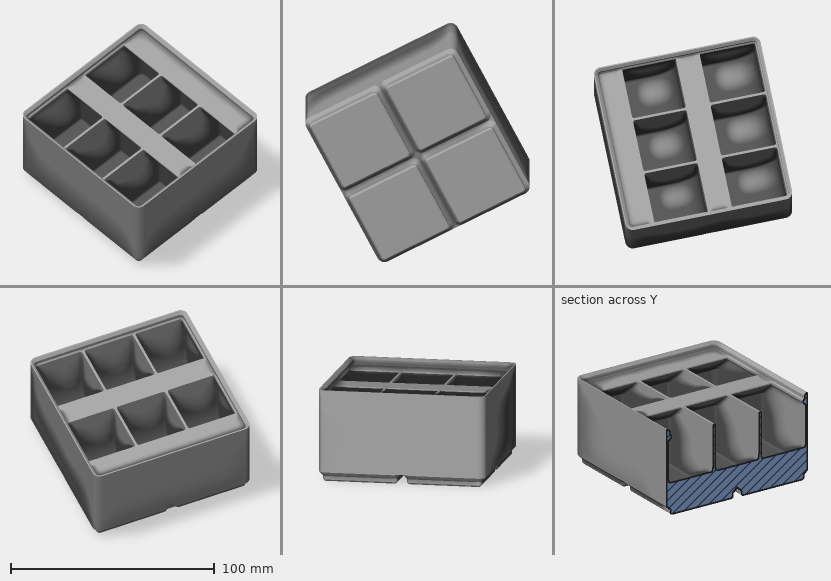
import cadquery as cq
import math

cell_count = 2
cell_pitch = 42.0
side_clearance = 0.25
bin_size = cell_count * cell_pitch - 2 * side_clearance
bin_corner_radius = 3.75
body_top = 42.0

foot_corner_radius = 4.0
foot_low_chamfer = 0.8
foot_straight = 1.8
foot_high_chamfer = 2.4
foot_straight_top = foot_low_chamfer + foot_straight
foot_height = foot_straight_top + foot_high_chamfer

wall = 1.0
floor_top = 7.0
inner_size = bin_size - 2 * wall
half_inner = inner_size / 2

lip_undercut = 1.6
lip_band = 1.2
lip_low_chamfer = 0.7
lip_straight = 1.8
lip_high_chamfer = 1.3
bin_top = body_top + lip_low_chamfer + lip_straight + lip_high_chamfer
mouth_size = inner_size - 2 * lip_undercut
half_mouth = mouth_size / 2

columns = 3
rows = 2
divider = 1.2
inside_fillet = 1.1
scoop_radius = 14.0

shelf_width = 12.0
shelf_edge_thickness = 0.6
shelf_slope = 0.82
back_shelf_inset = 1.35


def rounded_square(size, corner_radius):
    return cq.Sketch().rect(size, size).vertices().fillet(corner_radius)


def bin_section(size):
    """Rounded square whose corner arcs share their centres with the bin's outer corners."""
    return rounded_square(size, bin_corner_radius - (bin_size - size) / 2)


def straight_step(section, bottom, height):
    return cq.Workplane("XY", origin=(0, 0, bottom)).placeSketch(section).extrude(height)


def taper_down(section, top, height):
    """Step that narrows downward at 45 degrees from its section at the top."""
    return cq.Workplane("XY", origin=(0, 0, top)).placeSketch(section).extrude(-height, taper=45)


def taper_up(section, bottom, height):
    """Step that narrows upward at 45 degrees from its section at the bottom."""
    return cq.Workplane("XY", origin=(0, 0, bottom)).placeSketch(section).extrude(height, taper=45)


def make_foot():
    full_section = rounded_square(cell_pitch, foot_corner_radius)
    band_section = rounded_square(
        cell_pitch - 2 * foot_high_chamfer,
        foot_corner_radius - foot_high_chamfer,
    )
    foot = taper_down(full_section, foot_height, foot_high_chamfer)
    foot = foot.union(straight_step(band_section, foot_low_chamfer, foot_straight))
    return foot.union(taper_down(band_section, foot_low_chamfer, foot_low_chamfer))


def make_feet():
    """One foot per cell, trimmed to the bin's outline."""
    foot = make_foot()
    feet = cq.Workplane("XY")
    middle = (cell_count - 1) / 2
    for column in range(cell_count):
        for row in range(cell_count):
            place = ((column - middle) * cell_pitch, (row - middle) * cell_pitch, 0)
            feet = feet.union(foot.translate(place))
    return feet.intersect(straight_step(bin_section(bin_size), 0, foot_height))


def make_lip_recess():
    """Space inside the lip, above the compartments."""
    band_size = mouth_size + 2 * lip_low_chamfer
    rim_size = band_size + 2 * lip_high_chamfer
    band_bottom = body_top + lip_low_chamfer
    recess = taper_down(bin_section(band_size), band_bottom, lip_low_chamfer)
    recess = recess.union(straight_step(bin_section(band_size), band_bottom, lip_straight))
    return recess.union(taper_down(bin_section(rim_size), bin_top, lip_high_chamfer))


def make_interior():
    """Undivided space below the lip, with a 45 degree narrowing up to the mouth."""
    band_bottom = body_top - lip_band
    undercut_bottom = band_bottom - lip_undercut
    interior = straight_step(bin_section(inner_size), floor_top, undercut_bottom - floor_top)
    interior = interior.faces("<Z").edges().fillet(inside_fillet)
    interior = interior.union(taper_up(bin_section(inner_size), undercut_bottom, lip_undercut))
    return interior.union(straight_step(bin_section(mouth_size), band_bottom, lip_band))


def compartment_bounds(count):
    """Start and end of each compartment along one axis, with dividers centred on even steps."""
    step = inner_size / count
    bounds = []
    for index in range(count):
        start = -half_inner + index * step
        end = start + step
        if index > 0:
            start += divider / 2
        if index < count - 1:
            end -= divider / 2
        bounds.append((start, end))
    return bounds


def make_compartment(left, right, front, back, shelf_edge):
    """Void with a scooped front and rounded inside edges that leaves a label shelf at the back."""
    width = right - left
    arc_offset = scoop_radius * (1 - math.sqrt(0.5))
    slope_start = shelf_edge - shelf_edge_thickness / shelf_slope
    shelf_root = body_top - (back - slope_start) * shelf_slope

    void = (
        cq.Workplane("YZ", origin=(left, 0, 0))
        .moveTo(front, body_top)
        .lineTo(front, floor_top + scoop_radius)
        .threePointArc(
            (front + arc_offset, floor_top + arc_offset),
            (front + scoop_radius, floor_top),
        )
        .lineTo(back, floor_top)
        .lineTo(back, shelf_root)
        .lineTo(slope_start, body_top)
        .close()
        .extrude(width)
    )
    side_edges = void.faces("<X or >X").edges("not(>Z)")
    rear_floor_edge = void.faces(">Y").edges("<Z")
    void = void.newObject(side_edges.vals() + rear_floor_edge.vals()).fillet(inside_fillet)

    above_shelf_edge = (
        cq.Workplane("XY", origin=((left + right) / 2, shelf_edge - shelf_width / 2, shelf_root))
        .rect(width, shelf_width)
        .extrude(body_top - shelf_root)
        .edges("|Z and >Y")
        .fillet(inside_fillet)
    )
    return void.union(above_shelf_edge)


def make_storage():
    """All compartments, fitted inside the undivided space."""
    interior = make_interior()
    storage = cq.Workplane("XY")
    for row, (front, back) in enumerate(compartment_bounds(rows)):
        scoop_front = -half_mouth if row == 0 else front
        is_last_row = row == rows - 1
        shelf_back = half_inner - back_shelf_inset if is_last_row else back + divider
        for left, right in compartment_bounds(columns):
            void = make_compartment(left, right, scoop_front, back, shelf_back - shelf_width)
            storage = storage.union(void.intersect(interior))
    return storage


body = straight_step(bin_section(bin_size), foot_height, bin_top - foot_height)
result = body.union(make_feet()).cut(make_storage()).cut(make_lip_recess())